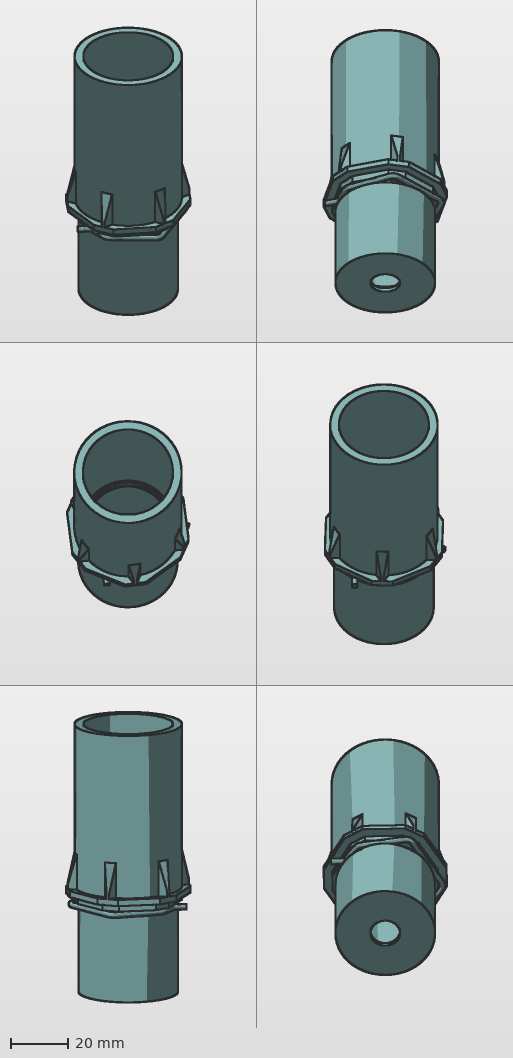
import cadquery as cq
import math

total_height = 96.0
groove_bottom = 30.8
groove_top = 32.8
flange_bottom = 35.5
flange_top = 37.7
rib_knee = 39.7
rib_top = 50.2

upper_tube_radius = 18.8
lower_tube_radius = 17.5
groove_radius = 16.1
side_count = 6
flange_across_sides = 41.0
flange_across_corners = 43.0
collar_across_sides = 35.0
collar_across_corners = 37.0

rib_count = side_count
rib_tip_width = 1.0
rib_side_angle = 30.0
rib_root_radius = 17.8

socket_radius = 15.7
upper_step_radius = 15.0
lower_step_radius = 14.5
shelf_radius = 12.6
taper_top_radius = 12.2
taper_bottom_radius = 10.8
outlet_radius = 5.2
upper_step_level = 40.3
lower_step_level = 37.4
shelf_level = 7.7
lead_in_depth = 0.4
taper_angle = 20.0
cone_slope = 20.0

wire_diameter = groove_top - groove_bottom
wire_radius = wire_diameter / 2
clip_level = (groove_bottom + groove_top) / 2
leg_distance = groove_radius + wire_radius
leg_slope = 22.5
end_slope = 30.0
end_bend_x = -7.4
end_tip_x = -11.4
corner_bend_radius = 2.9
end_bend_radius = 2.0


def clipped_hexagon(across_sides, across_corners, bottom, top):
    """Hexagonal plate, two sides facing +X and -X, with its six corners cut flat."""
    height = top - bottom
    half_sector = 180 / side_count
    side_hexagon = (
        cq.Workplane("XY", origin=(0, 0, bottom))
        .polygon(side_count, across_sides, circumscribed=True)
        .extrude(height)
    )
    corner_hexagon = (
        cq.Workplane("XY", origin=(0, 0, bottom))
        .polygon(side_count, across_corners, circumscribed=True)
        .extrude(height)
        .rotate((0, 0, 0), (0, 0, 1), half_sector)
    )
    return side_hexagon.intersect(corner_hexagon)


def cylinder(radius, bottom, top):
    return cq.Workplane("XY", origin=(0, 0, bottom)).circle(radius).extrude(top - bottom)


def make_rib():
    """Rib pointing along +Y: narrows outward in plan, slopes back to the tube at the top."""
    tip_radius = flange_across_corners / 2
    tip_half = rib_tip_width / 2
    root_half = tip_half + (tip_radius - rib_root_radius) * math.tan(math.radians(rib_side_angle))
    plan = (
        cq.Workplane("XY", origin=(0, 0, flange_top))
        .polyline([
            (-root_half, rib_root_radius),
            (root_half, rib_root_radius),
            (tip_half, tip_radius),
            (-tip_half, tip_radius),
        ])
        .close()
        .extrude(rib_top - flange_top)
    )
    side = (
        cq.Workplane("YZ")
        .polyline([
            (rib_root_radius, flange_top),
            (tip_radius, flange_top),
            (tip_radius, rib_knee),
            (upper_tube_radius, rib_top),
            (rib_root_radius, rib_top),
        ])
        .close()
        .extrude(root_half, both=True)
    )
    return plan.intersect(side)


def make_bore():
    """Stepped socket above a two-stage funnel and a round outlet."""
    taper_top = shelf_level - lead_in_depth
    cone_top = taper_top - (taper_top_radius - taper_bottom_radius) / math.tan(math.radians(taper_angle))
    cone_bottom = cone_top - (taper_bottom_radius - outlet_radius) * math.tan(math.radians(cone_slope))
    return (
        cq.Workplane("XZ")
        .polyline([
            (0, total_height),
            (socket_radius, total_height),
            (socket_radius, upper_step_level),
            (upper_step_radius, upper_step_level),
            (upper_step_radius, lower_step_level),
            (lower_step_radius, lower_step_level),
            (lower_step_radius, shelf_level),
            (shelf_radius, shelf_level),
            (taper_top_radius, taper_top),
            (taper_bottom_radius, cone_top),
            (outlet_radius, cone_bottom),
            (outlet_radius, 0),
            (0, 0),
        ])
        .close()
        .revolve(360, (0, 0, 0), (0, 1, 0))
    )


def make_housing():
    body = cylinder(lower_tube_radius, 0, groove_bottom)
    body = body.union(cylinder(groove_radius, groove_bottom, groove_top))
    body = body.union(
        clipped_hexagon(collar_across_sides, collar_across_corners, groove_top, flange_bottom)
    )
    body = body.union(
        clipped_hexagon(flange_across_sides, flange_across_corners, flange_bottom, flange_top)
    )
    body = body.union(cylinder(upper_tube_radius, flange_top, total_height))
    rib = make_rib()
    for index in range(rib_count):
        body = body.union(rib.rotate((0, 0, 0), (0, 0, 1), index * 360 / rib_count))
    return body.cut(make_bore()).solids()


def rounded_wire_path(corners, bend_radii):
    """Path of straight legs through the corners, each inner corner replaced by a tangent arc."""
    points = [cq.Vector(x, y, clip_level) for x, y in corners]
    edges = []
    leg_start = points[0]
    for before, corner, after, radius in zip(points, points[1:], points[2:], bend_radii):
        back = (before - corner).normalized()
        onward = (after - corner).normalized()
        half_angle = back.getAngle(onward) / 2
        bisector = (back + onward).normalized()
        tangent_length = radius / math.tan(half_angle)
        arc_start = corner + back * tangent_length
        arc_end = corner + onward * tangent_length
        arc_middle = corner + bisector * (radius / math.sin(half_angle) - radius)
        edges.append(cq.Edge.makeLine(leg_start, arc_start))
        edges.append(cq.Edge.makeThreePointArc(arc_start, arc_middle, arc_end))
        leg_start = arc_end
    edges.append(cq.Edge.makeLine(leg_start, points[-1]))
    return cq.Wire.assembleEdges(edges)


def make_clip():
    """Open wire clip, symmetric about the XZ plane, with its mouth toward -X."""
    slope = math.tan(math.radians(leg_slope))
    front_y = leg_distance / math.cos(math.radians(leg_slope))
    side_y = front_y - leg_distance * slope
    end_bend_y = front_y + end_bend_x * slope
    tip_y = end_bend_y + (end_bend_x - end_tip_x) * math.tan(math.radians(end_slope))

    half = [
        (end_tip_x, -tip_y),
        (end_bend_x, -end_bend_y),
        (0, -front_y),
        (leg_distance, -side_y),
    ]
    corners = half + [(x, -y) for x, y in reversed(half)]
    half_radii = [end_bend_radius, corner_bend_radius, corner_bend_radius]
    path = rounded_wire_path(corners, half_radii + half_radii[::-1])

    end_direction = cq.Vector(end_bend_x - end_tip_x, tip_y - end_bend_y, 0)
    end_plane = cq.Plane(origin=(end_tip_x, -tip_y, clip_level), xDir=(0, 0, 1), normal=end_direction)
    return cq.Workplane(end_plane).circle(wire_radius).sweep(cq.Workplane(path))


housing = make_housing()
clip = make_clip()

result = cq.Compound.makeCompound([housing.val(), clip.val()])